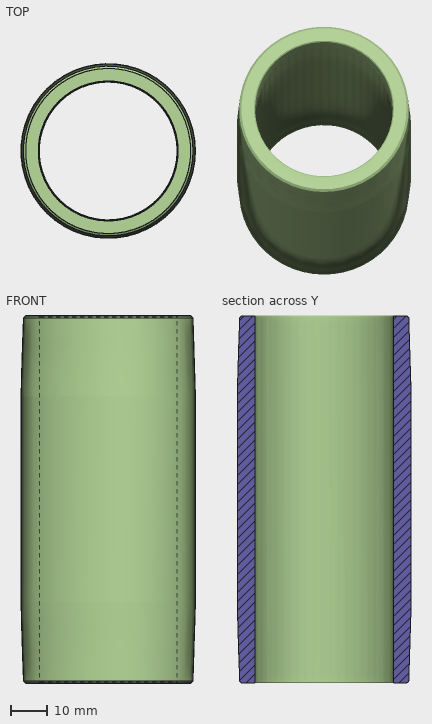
import cadquery as cq

length = 101.6
outer_diameter = 48.3
bore_diameter = 38.1
cone_length = 22.4
cone_taper = 1 / 16
outer_chamfer = 0.6
bore_chamfer = 0.3

outer_radius = outer_diameter / 2
bore_radius = bore_diameter / 2
end_radius = outer_radius - cone_taper * cone_length / 2


def solid_barrel():
    """Revolve the outside shape, standing on the XY plane, about Z."""
    profile = (
        cq.Workplane("XZ")
        .moveTo(0, 0)
        .lineTo(end_radius, 0)
        .lineTo(outer_radius, cone_length)
        .lineTo(outer_radius, length - cone_length)
        .lineTo(end_radius, length)
        .lineTo(0, length)
        .close()
    )
    return profile.revolve(360, (0, 0, 0), (0, 1, 0))


barrel = solid_barrel().faces("<Z or >Z").edges().chamfer(outer_chamfer)

bore = cq.Workplane("XY").circle(bore_radius).extrude(length)
tube = barrel.cut(bore)

bore_rims = cq.selectors.RadiusNthSelector(0)
result = tube.faces("<Z or >Z").edges(bore_rims).chamfer(bore_chamfer)